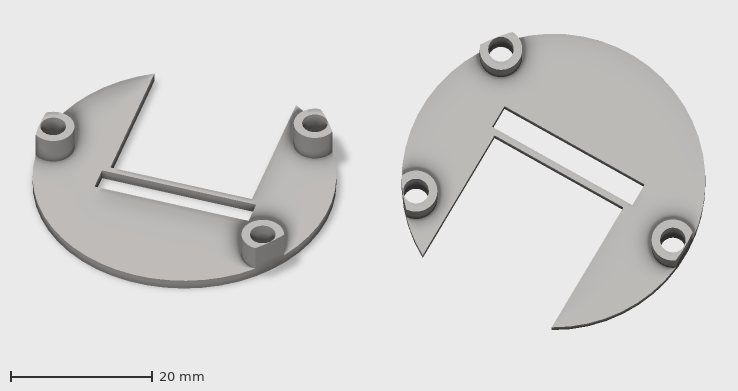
import cadquery as cq

disc_radius = 21.5
plate_thickness = 1.5
total_height = 5.5

notch_width = 21.05
notch_floor_y = -1.55
notch_length = disc_radius - notch_floor_y

window_width = 22.9
window_height = 3.5
window_center_y = -4.2

boss_diameter = 6.0
hole_diameter = 3.6
left_boss_x = -19.5
right_boss_x = 15.5
right_boss_y = 12.0
boss_centers = [
    (left_boss_x, 0),
    (right_boss_x, right_boss_y),
    (right_boss_x, -right_boss_y),
]


def make_plate():
    """Disc with the open notch and the window cut through it."""
    disc = cq.Workplane("XY").circle(disc_radius).extrude(plate_thickness)
    notch = (
        cq.Workplane("XY")
        .box(notch_width, notch_length, plate_thickness, centered=(True, False, False))
        .translate((0, notch_floor_y, 0))
    )
    window = (
        cq.Workplane("XY")
        .center(0, window_center_y)
        .rect(window_width, window_height)
        .extrude(plate_thickness)
    )
    return disc.cut(notch).cut(window)


def make_bosses():
    """Round bosses limited to the disc outline."""
    posts = cq.Workplane("XY").pushPoints(boss_centers).circle(boss_diameter / 2).extrude(total_height)
    rim = cq.Workplane("XY").circle(disc_radius).extrude(total_height)
    return posts.intersect(rim)


def make_holes():
    """Through holes on the boss axes."""
    return cq.Workplane("XY").pushPoints(boss_centers).circle(hole_diameter / 2).extrude(total_height)


result = make_plate().union(make_bosses()).cut(make_holes())